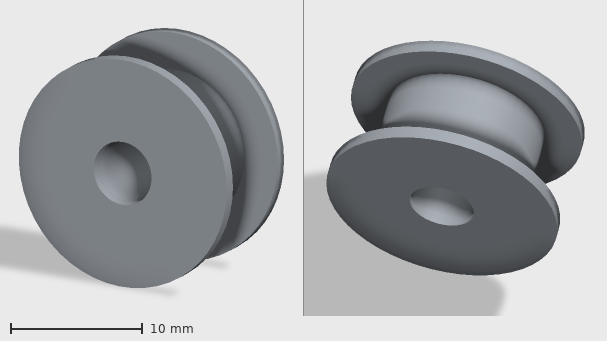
import cadquery as cq

flange_diameter = 18.0
flange_thickness = 1.0
hub_diameter = 12.2
bore_diameter = 5.0
overall_width = 9.0

half_width = overall_width / 2
hub_width = overall_width - 2 * flange_thickness


def disc(diameter, start_y, width):
    """Solid cylinder along +Y, starting at start_y."""
    return cq.Workplane("XZ", origin=(0, start_y, 0)).circle(diameter / 2).extrude(-width)


hub = disc(hub_diameter, -half_width + flange_thickness, hub_width)
front_flange = disc(flange_diameter, -half_width, flange_thickness)
rear_flange = disc(flange_diameter, half_width - flange_thickness, flange_thickness)
spool = hub.union(front_flange).union(rear_flange)

bore = disc(bore_diameter, -half_width, overall_width)
result = spool.cut(bore)